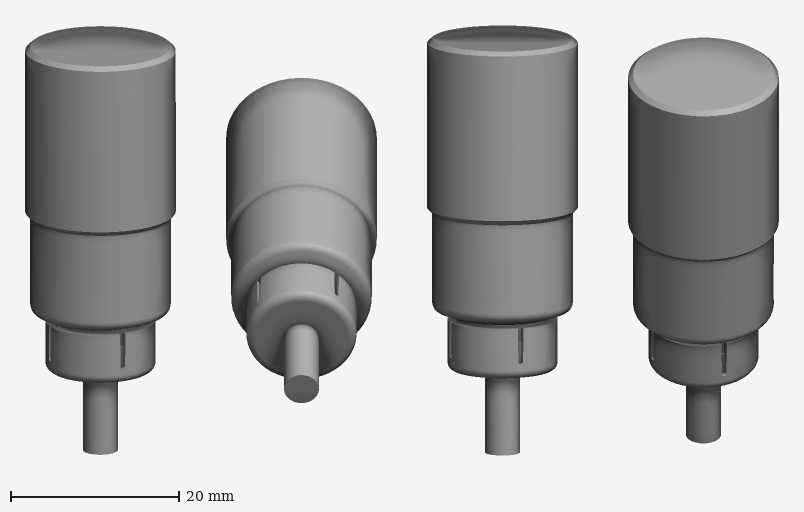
import cadquery as cq
import math

total_height = 50.0
seam_angle = -90
cable_radius = 2.08
cable_length = 10.0
joint_overlap = 1.0

sleeve_radius = 8.95
sleeve_length = 21.0
sleeve_chamfer_width = 0.6
sleeve_top_chamfer_height = 0.5
sleeve_bottom_chamfer_height = 0.6
sleeve_bottom = total_height - sleeve_length

body_radius = sleeve_radius - sleeve_chamfer_width
cap_top = 19.4
cap_edge_top = 18.15
cap_edge_radius = 1.1
cap_cone_angle = math.radians(18.5)
neck_radius = 5.5

nut_radius = 6.55
nut_height = 6.1
nut_edge_radius = 1.0
nut_top = cable_length + nut_height

inlay_width = 3.0
inlay_height = 4.0
inlay_offset = -0.33

tab_height = 1.05
tab_depth = 1.0
side_tab_width = 5.0
key_tab_width = 1.25

slot_count = 4
slot_top_width = 0.7
slot_end_radius = 0.3
slot_length = 4.3
slot_upper_length = 1.7
slot_upper_depth = 0.9
slot_lower_depth = 0.7


def make_cable():
    return cq.Workplane("XY").circle(cable_radius).extrude(cable_length + joint_overlap)


def make_nut():
    nut = cq.Workplane("XY").workplane(offset=cable_length).circle(nut_radius).extrude(nut_height)
    return nut.faces("<Z").edges().fillet(nut_edge_radius)


def make_slot(length, depth):
    """Upper `length` of a tapered, round-ended slot on the -Y side of the nut, cut `depth` deep."""
    slot_bottom = nut_top - slot_length
    end_center = slot_bottom + slot_end_radius
    open_half = slot_top_width / 2
    outline = (
        cq.Workplane("XZ", origin=(0, -(nut_radius - depth), 0))
        .moveTo(-open_half, nut_top)
        .lineTo(-slot_end_radius, end_center)
        .threePointArc((0, slot_bottom), (slot_end_radius, end_center))
        .lineTo(open_half, nut_top)
        .close()
        .extrude(depth + joint_overlap)
    )
    reach = 2 * (nut_radius + joint_overlap)
    keep = (
        cq.Workplane("XY", origin=(0, 0, nut_top - length))
        .rect(reach, reach)
        .extrude(length, combine=False)
    )
    return outline.intersect(keep)


def cut_slots(nut):
    upper = make_slot(slot_upper_length, slot_upper_depth)
    lower = make_slot(slot_length, slot_lower_depth)
    slot = upper.union(lower)
    for index in range(slot_count):
        angle = index * 360 / slot_count
        nut = nut.cut(slot.rotate((0, 0, 0), (0, 0, 1), angle))
    return nut


def turn_about_z(profile):
    """Turn an XZ profile about Z, with the seam on the -Y side, clear of the inlays and side tabs."""
    turned = profile.revolve(360, (0, 0, 0), (0, 1, 0))
    return turned.rotate((0, 0, 0), (0, 0, 1), seam_angle)


def make_cap():
    """Cap turned about Z: straight rim, rounded edge, conical underside and neck."""
    center_r = body_radius - cap_edge_radius
    arc_mid_angle = (math.pi / 2 - cap_cone_angle) / 2
    arc_mid_r = center_r + cap_edge_radius * math.cos(arc_mid_angle)
    arc_mid_z = cap_edge_top - cap_edge_radius * math.sin(arc_mid_angle)
    arc_end_r = center_r + cap_edge_radius * math.sin(cap_cone_angle)
    arc_end_z = cap_edge_top - cap_edge_radius * math.cos(cap_cone_angle)
    cone_end_z = arc_end_z - (arc_end_r - neck_radius) * math.tan(cap_cone_angle)
    neck_end_z = nut_top - joint_overlap
    profile = (
        cq.Workplane("XZ")
        .moveTo(0, cap_top)
        .lineTo(body_radius, cap_top)
        .lineTo(body_radius, cap_edge_top)
        .threePointArc((arc_mid_r, arc_mid_z), (arc_end_r, arc_end_z))
        .lineTo(neck_radius, cone_end_z)
        .lineTo(neck_radius, neck_end_z)
        .lineTo(0, neck_end_z)
        .close()
    )
    return turn_about_z(profile)


def make_housing():
    """Body and chamfered sleeve turned about Z."""
    profile = (
        cq.Workplane("XZ")
        .moveTo(0, cap_top)
        .lineTo(body_radius, cap_top)
        .lineTo(body_radius, sleeve_bottom)
        .lineTo(sleeve_radius, sleeve_bottom + sleeve_bottom_chamfer_height)
        .lineTo(sleeve_radius, total_height - sleeve_top_chamfer_height)
        .lineTo(sleeve_radius - sleeve_chamfer_width, total_height)
        .lineTo(0, total_height)
        .close()
    )
    return turn_about_z(profile)


def make_inlay_block(side):
    """Block around one inlay, hollowed so that the round top face stays whole."""
    inlay_bottom = total_height - inlay_height
    length = sleeve_radius + joint_overlap
    height = inlay_height + joint_overlap
    block = (
        cq.Workplane("XY", origin=(side * length / 2, inlay_offset, inlay_bottom))
        .rect(length, inlay_width)
        .extrude(height)
    )
    core = (
        cq.Workplane("XY", origin=(0, 0, inlay_bottom))
        .circle(sleeve_radius - sleeve_chamfer_width)
        .extrude(height)
    )
    return block.cut(core)


def make_tab_block(width, offset, angle):
    """Block around one tab, built on the +X side, shifted along Y and turned to its angle about Z."""
    length = tab_depth + joint_overlap
    center_x = body_radius - tab_depth + length / 2
    center_z = cap_top + tab_height / 2
    block = cq.Workplane("XY", origin=(center_x, offset, center_z)).box(length, width, tab_height)
    return block.rotate((0, 0, 0), (0, 0, 1), angle)


def set_flush(housing, block):
    """Divide the housing at the block so that its flush outer face stays a face of its own."""
    piece = housing.intersect(block, clean=False)
    return housing.cut(block, clean=False).union(piece, clean=False)


housing = make_housing()
for side in (-1, 1):
    housing = set_flush(housing, make_inlay_block(side))

cap = make_cap()
for side_angle in (0, 180):
    tab_block = make_tab_block(side_tab_width, 0, side_angle)
    cap = cap.union(housing.intersect(tab_block))
    housing = housing.cut(tab_block, clean=False)
housing = set_flush(housing, make_tab_block(key_tab_width, key_tab_width / 2, seam_angle))

clamp = cut_slots(make_nut()).union(make_cable())
result = housing.union(cap, clean=False).union(clamp, clean=False)